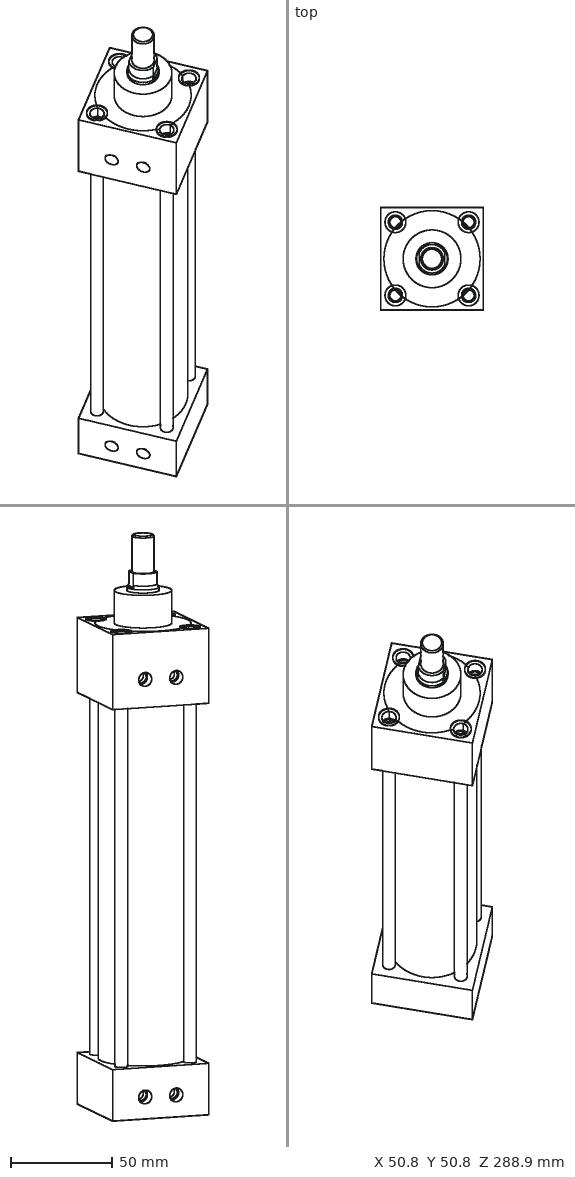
import cadquery as cq
import math

CAP_SIDE = 50.8
OVERALL_HEIGHT = 288.93

REAR_CAP_HEIGHT = 25.9
BARREL_LENGTH = 180.9
HEAD_HEIGHT = 37.7
GLAND_HEIGHT = 16.4
HEAD_BASE_Z = REAR_CAP_HEIGHT + BARREL_LENGTH
HEAD_TOP_Z = HEAD_BASE_Z + HEAD_HEIGHT
GLAND_TOP_Z = HEAD_TOP_Z + GLAND_HEIGHT

BARREL_DIAMETER = 44.45
TIE_ROD_DIAMETER = 6.35
TIE_ROD_OFFSET = 18.1
TIE_ROD_POINTS = [(x * TIE_ROD_OFFSET, y * TIE_ROD_OFFSET) for x in (-1, 1) for y in (-1, 1)]

GLAND_DIAMETER = 28.575
FLANGE_DIAMETER = 47.6
FLANGE_THICKNESS = 9.5
FLANGE_BASE_Z = HEAD_TOP_Z - FLANGE_THICKNESS

NUT_POCKET_DIAMETER = 10.3
NUT_POCKET_DEPTH = 0.5
NUT_THREAD_DIAMETER = 7.0
NUT_THREAD_DEPTH = 6.0
NUT_DRILL_DIAMETER = 5.5
NUT_DRILL_DEPTH = 8.0

MOUNT_THREAD_DIAMETER = 6.8
MOUNT_THREAD_DEPTH = 6.0
MOUNT_DRILL_DIAMETER = 5.4
MOUNT_DRILL_DEPTH = 10.0
MOUNT_HOLE_OFFSET = 8.2
REAR_MOUNT_HOLE_Z = 11.1
HEAD_MOUNT_HOLE_Z = HEAD_BASE_Z + 14.1
DRILL_TIP_ANGLE = 118.0

ROD_DIAMETER = 15.875
COLLAR_DIAMETER = 14.1
STUD_DIAMETER = 11.11
STUD_LENGTH = 18.6
STUD_CHAMFER = 0.8
SHOULDER_HEIGHT = 1.6
SHOULDER_CONE_HEIGHT = 1.7
FLAT_WIDTH = 12.7
FLAT_LENGTH = 7.2
FLAT_CUT_MARGIN = 1.0
STUD_BASE_Z = OVERALL_HEIGHT - STUD_LENGTH
SHOULDER_TOP_Z = GLAND_TOP_Z + SHOULDER_HEIGHT
COLLAR_BASE_Z = SHOULDER_TOP_Z + SHOULDER_CONE_HEIGHT


def tapped_hole(mouth, direction, thread_diameter, thread_depth, drill_diameter, drill_depth):
    """Blind hole with a wide threaded length and a narrower drilled end with a conical tip."""
    drill_radius = drill_diameter / 2
    tip_length = drill_radius / math.tan(math.radians(DRILL_TIP_ANGLE / 2))
    thread = cq.Solid.makeCylinder(thread_diameter / 2, thread_depth, mouth, direction)
    drill = cq.Solid.makeCylinder(drill_radius, drill_depth, mouth, direction)
    tip = cq.Solid.makeCone(drill_radius, 0, tip_length, mouth + direction * drill_depth, direction)
    return thread.fuse(drill, tip)


def disc(diameter, base_z, height):
    """Round disc on the cylinder axis."""
    return cq.Workplane().workplane(offset=base_z).circle(diameter / 2).extrude(height)


def cap_block(base_z, height, mount_hole_z):
    """Square end block with the pair of blind mounting holes in its -Y face."""
    block = cq.Workplane().workplane(offset=base_z).rect(CAP_SIDE, CAP_SIDE).extrude(height)
    for x in (-MOUNT_HOLE_OFFSET, MOUNT_HOLE_OFFSET):
        hole = tapped_hole(
            cq.Vector(x, -CAP_SIDE / 2, mount_hole_z),
            cq.Vector(0, 1, 0),
            MOUNT_THREAD_DIAMETER,
            MOUNT_THREAD_DEPTH,
            MOUNT_DRILL_DIAMETER,
            MOUNT_DRILL_DEPTH,
        )
        block = block.cut(hole)
    return block


def cut_nut_recesses(body):
    """Cut the four corner pockets and their tapped holes, which open at the top of the head."""
    for x, y in TIE_ROD_POINTS:
        down = cq.Vector(0, 0, -1)
        top = cq.Vector(x, y, HEAD_TOP_Z)
        floor = top + down * NUT_POCKET_DEPTH
        body = body.cut(cq.Solid.makeCylinder(NUT_POCKET_DIAMETER / 2, NUT_POCKET_DEPTH, top, down))
        body = body.cut(
            tapped_hole(
                floor, down, NUT_THREAD_DIAMETER, NUT_THREAD_DEPTH, NUT_DRILL_DIAMETER, NUT_DRILL_DEPTH
            )
        )
    return body


def make_barrel():
    """Rear cap with the barrel and the four tie rods standing on it."""
    cap = cap_block(0, REAR_CAP_HEIGHT, REAR_MOUNT_HOLE_Z)
    cap_top = cq.Workplane().workplane(offset=REAR_CAP_HEIGHT)
    tie_rods = cap_top.pushPoints(TIE_ROD_POINTS).circle(TIE_ROD_DIAMETER / 2).extrude(BARREL_LENGTH)
    return cap.union(disc(BARREL_DIAMETER, REAR_CAP_HEIGHT, BARREL_LENGTH)).union(tie_rods)


def make_head():
    """Front cap with the recess for the gland flange and the bore for the rod."""
    head = cap_block(HEAD_BASE_Z, HEAD_HEIGHT, HEAD_MOUNT_HOLE_Z)
    head = head.cut(disc(FLANGE_DIAMETER, FLANGE_BASE_Z, FLANGE_THICKNESS))
    head = head.cut(disc(ROD_DIAMETER, HEAD_BASE_Z, HEAD_HEIGHT))
    return cut_nut_recesses(head)


def make_gland():
    """Flanged bush that guides the rod, notched at the corners by the nut recesses."""
    gland = disc(FLANGE_DIAMETER, FLANGE_BASE_Z, FLANGE_THICKNESS)
    gland = gland.union(disc(GLAND_DIAMETER, HEAD_TOP_Z, GLAND_HEIGHT))
    gland = gland.cut(disc(ROD_DIAMETER, FLANGE_BASE_Z, FLANGE_THICKNESS + GLAND_HEIGHT))
    return cut_nut_recesses(gland)


def make_piston_rod():
    """Stepped rod: shaft, conical shoulder, collar with wrench flats and end stud."""
    rod = (
        cq.Workplane("XZ")
        .moveTo(0, HEAD_BASE_Z)
        .lineTo(ROD_DIAMETER / 2, HEAD_BASE_Z)
        .lineTo(ROD_DIAMETER / 2, SHOULDER_TOP_Z)
        .lineTo(COLLAR_DIAMETER / 2, COLLAR_BASE_Z)
        .lineTo(COLLAR_DIAMETER / 2, STUD_BASE_Z)
        .lineTo(STUD_DIAMETER / 2, STUD_BASE_Z)
        .lineTo(STUD_DIAMETER / 2, OVERALL_HEIGHT - STUD_CHAMFER)
        .lineTo(STUD_DIAMETER / 2 - STUD_CHAMFER, OVERALL_HEIGHT)
        .lineTo(0, OVERALL_HEIGHT)
        .close()
        .revolve(360, (0, 0, 0), (0, 1, 0))
    )
    blank_side = ROD_DIAMETER + FLAT_CUT_MARGIN
    flats = (
        cq.Workplane()
        .workplane(offset=STUD_BASE_Z - FLAT_LENGTH)
        .rect(blank_side, blank_side)
        .rect(FLAT_WIDTH, blank_side)
        .extrude(FLAT_LENGTH)
    )
    return rod.cut(flats)


barrel = make_barrel()
head = make_head()
gland = make_gland()
piston_rod = make_piston_rod()

result = cq.Compound.makeCompound([barrel.val(), head.val(), gland.val(), piston_rod.val()])